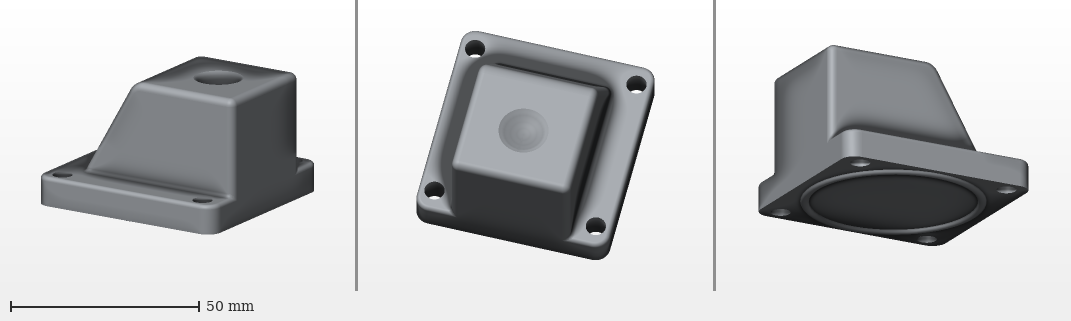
import cadquery as cq
import math

plate_length = 56.0
plate_width = 53.0
plate_height = 8.0
plate_corner_radius = 4.0
plate_edge_radius = 1.1
plate_end = plate_length / 2

hole_diameter = 5.4
hole_spacing = 44.25

tower_width = 32.6
tower_top = 35.0
slope_base_inset = 8.5
slope_angle = 60.0
slope_top_radius = 4.5
tower_edge_radius = 1.95
tower_root_radius = 0.95

dimple_x = 13.0
dimple_sphere_diameter = 22.0
dimple_depth = 2.25

ring_cord_diameter = 2.5
ring_centre_diameter = 47.25
ring_protrusion = 0.95


def make_plate():
    plate = cq.Workplane("XY").box(
        plate_length, plate_width, plate_height, centered=(True, True, False)
    )
    plate = plate.edges("|Z").fillet(plate_corner_radius)
    return plate.faces(">Z").edges().fillet(plate_edge_radius)


def make_tower():
    slope_run_per_height = 1 / math.tan(math.radians(slope_angle))
    slope_base_x = -plate_end + slope_base_inset
    slope_foot_x = slope_base_x - plate_height * slope_run_per_height
    slope_top_x = slope_base_x + (tower_top - plate_height) * slope_run_per_height
    profile = [
        (slope_foot_x, 0),
        (plate_end, 0),
        (plate_end, tower_top),
        (slope_top_x, tower_top),
    ]
    tower = (
        cq.Workplane("XZ").polyline(profile).close().extrude(tower_width / 2, both=True)
    )
    tower = tower.faces(">Z").edges("<X").fillet(slope_top_radius)
    side_edges = tower.faces("<Y or >Y").edges("not <Z")
    rear_top_edge = tower.faces(">Z").edges(">X")
    return tower.newObject(side_edges.vals() + rear_top_edge.vals()).fillet(tower_edge_radius)


def is_root_edge(edge):
    """Tell whether an edge lies where the tower meets the upper face or rounded rim of the plate."""
    box = edge.BoundingBox()
    centre = edge.Center()
    tolerance = 0.005
    behind_plate_front = centre.x > -plate_end + plate_corner_radius
    near_tower = abs(centre.y) < tower_width / 2 + tolerance
    above_rim = box.zmin > plate_height - plate_edge_radius - tolerance
    below_top = box.zmax < plate_height + tolerance
    return behind_plate_front and near_tower and above_rim and below_top


def make_ring():
    cord_radius = ring_cord_diameter / 2
    ring = cq.Solid.makeTorus(ring_centre_diameter / 2, cord_radius)
    return cq.Workplane(ring.translate(cq.Vector(0, 0, cord_radius - ring_protrusion)))


def make_dimple():
    sphere_radius = dimple_sphere_diameter / 2
    sphere_centre_z = tower_top - dimple_depth + sphere_radius
    return cq.Workplane("XY").sphere(sphere_radius).translate((dimple_x, 0, sphere_centre_z))


def make_housing(ring):
    housing = make_plate().union(make_tower())
    root_edges = [edge for edge in housing.edges().vals() if is_root_edge(edge)]
    housing = housing.newObject(root_edges).fillet(tower_root_radius)
    holes = (
        cq.Workplane("XY")
        .rect(hole_spacing, hole_spacing, forConstruction=True)
        .vertices()
        .circle(hole_diameter / 2)
        .extrude(plate_height)
    )
    return housing.cut(holes).cut(make_dimple()).cut(ring)


sealing_ring = make_ring()
housing = make_housing(sealing_ring)
result = cq.Compound.makeCompound([housing.val(), sealing_ring.val()])